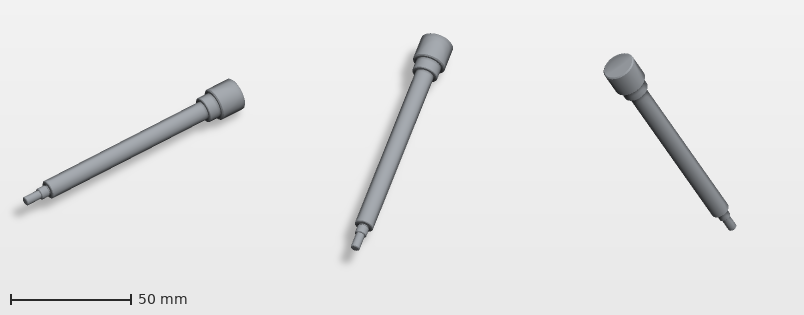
import cadquery as cq

total_length = 106.0
pin_length = 7.0
tip_collar_length = 3.9
base_ring_length = 0.4
head_collar_length = 5.2
head_length = 11.5

pin_diameter = 3.8
tip_collar_diameter = 5.0
base_ring_diameter = 4.4
shaft_diameter = 8.0
head_collar_diameter = 11.0
head_diameter = 14.0

front_chamfer = 0.3
tip_collar_rear_chamfer = 0.4
head_chamfer = 0.5

tip_y = -total_length / 2
tip_collar_y = tip_y + pin_length
base_ring_y = tip_collar_y + tip_collar_length
shaft_y = base_ring_y + base_ring_length
head_end_y = total_length / 2
head_y = head_end_y - head_length
head_collar_y = head_y - head_collar_length


def cylinder(diameter, start_y, end_y):
    """Cylinder about the Y axis between two stations."""
    start_plane = cq.Workplane("XZ", origin=(0, start_y, 0))
    return start_plane.circle(diameter / 2).extrude(start_y - end_y)


def break_front_edge(body, chamfer):
    """Chamfer the round edge of the end that faces the pin tip."""
    return body.faces("<Y").edges().chamfer(chamfer)


def break_rear_edge(body, chamfer):
    """Chamfer the round edge of the end that faces away from the pin tip."""
    return body.faces(">Y").edges().chamfer(chamfer)


pin = break_front_edge(cylinder(pin_diameter, tip_y, tip_collar_y), front_chamfer)

tip_collar = cylinder(tip_collar_diameter, tip_collar_y, base_ring_y)
tip_collar = break_front_edge(tip_collar, front_chamfer)
tip_collar = break_rear_edge(tip_collar, tip_collar_rear_chamfer)

base_ring = cylinder(base_ring_diameter, base_ring_y, shaft_y)

shaft = break_front_edge(cylinder(shaft_diameter, shaft_y, head_collar_y), front_chamfer)

head_collar = break_front_edge(cylinder(head_collar_diameter, head_collar_y, head_y), front_chamfer)

head = cylinder(head_diameter, head_y, head_end_y)
head = break_front_edge(head, head_chamfer)
head = break_rear_edge(head, head_chamfer)

result = pin
for section in (tip_collar, base_ring, shaft, head_collar, head):
    result = result.union(section)